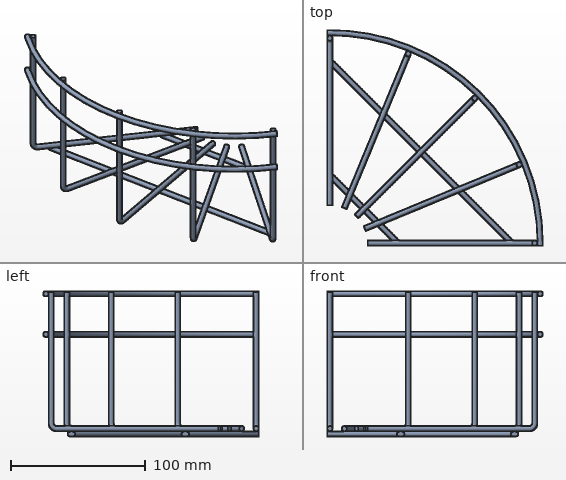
import cadquery as cq
import math

wire_diameter = 4.0
outer_size = 160.0
overall_height = 108.0
inner_radius = 28.0
bend_radius = 4.0
upright_top = 107.1
rail_spacing = 30.1
wire_count = 5
fan_angle = 90.0
cross_rod_intercepts = [54.6, 139.1]

wire_radius = wire_diameter / 2
fan_centre = wire_radius
rail_radius = outer_size - wire_radius - fan_centre
upright_radius = rail_radius - wire_diameter
rod_level = wire_radius
floor_level = rod_level + wire_diameter
top_rail_level = overall_height - wire_radius
rail_levels = [top_rail_level, top_rail_level - rail_spacing]


def make_bent_wire(angle):
    """Radial floor wire that turns up into an upright just inside the rails."""
    corner_offset = bend_radius * (1 - math.sqrt(0.5))
    path = (
        cq.Workplane("XZ")
        .moveTo(inner_radius, floor_level)
        .lineTo(upright_radius - bend_radius, floor_level)
        .threePointArc(
            (upright_radius - corner_offset, floor_level + corner_offset),
            (upright_radius, floor_level + bend_radius),
        )
        .lineTo(upright_radius, upright_top)
    )
    wire = cq.Workplane("YZ", origin=(inner_radius, 0, floor_level)).circle(wire_radius).sweep(path)
    return wire.rotate((0, 0, 0), (0, 0, 1), angle).translate((fan_centre, fan_centre, 0))


def trim_to_quadrant(body):
    """Cut a body flush with the flat sides X = 0 and Y = 0."""
    quadrant = cq.Workplane("XY").box(outer_size, outer_size, overall_height, centered=False)
    return body.intersect(quadrant)


def make_curved_rail(level):
    """Circular rail about the fan centre, trimmed flush at X = 0 and Y = 0."""
    ring = (
        cq.Workplane("XZ")
        .center(rail_radius, level)
        .circle(wire_radius)
        .revolve(360, (-rail_radius, 0, 0), (-rail_radius, 1, 0))
        .translate((fan_centre, fan_centre, 0))
    )
    return trim_to_quadrant(ring)


def make_cross_rod(intercept):
    """Diagonal rod under the floor wires, trimmed flush at X = 0 and Y = 0."""
    overrun = wire_diameter
    start = cq.Vector(intercept + overrun, -overrun, rod_level)
    direction = cq.Vector(-1, 1, 0)
    length = (intercept + 2 * overrun) * math.sqrt(2)
    rod = cq.Workplane(cq.Plane(start, normal=direction)).circle(wire_radius).extrude(length)
    return trim_to_quadrant(rod)


bent_wires = [make_bent_wire(i * fan_angle / (wire_count - 1)) for i in range(wire_count)]
curved_rails = [make_curved_rail(level) for level in rail_levels]
cross_rods = [make_cross_rod(intercept) for intercept in cross_rod_intercepts]

result = cq.Compound.makeCompound([body.val() for body in bent_wires + curved_rails + cross_rods])